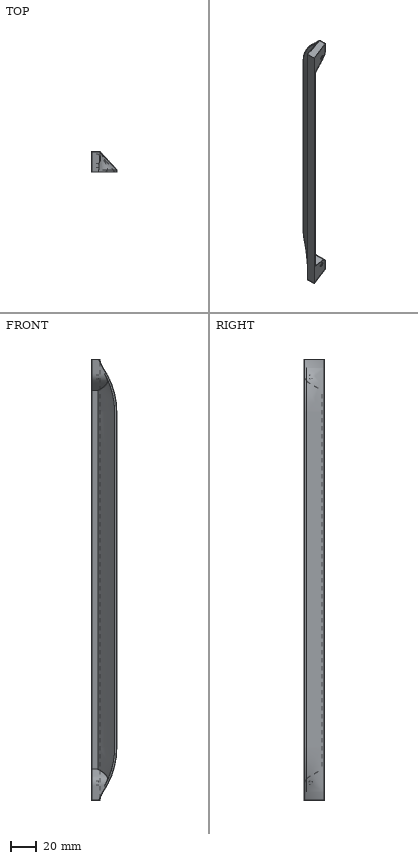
import cadquery as cq
import math

length = 350.0
depth = 20.0
width = 16.0
half_length = length / 2
front_y = -width / 2
back_y = width / 2

back_depth = 6.5
cap_depth = 5.5
lip_height = 1.8
wall = 1.8
grip_half_length = 133.5
end_line_z = 168.0
end_line_depth = 9.0

bend_rise = depth - end_line_depth
bend_run = end_line_z - grip_half_length
bend_radius = (bend_rise**2 + bend_run**2) / (2 * bend_rise)
bend_half_angle = math.asin(bend_run / bend_radius) / 2
bend_mid_z = grip_half_length + bend_radius * math.sin(bend_half_angle)
bend_mid_depth = depth - bend_radius * (1 - math.cos(bend_half_angle))
front_depths = [cap_depth, end_line_depth, bend_mid_depth, depth]

recess_back_depth = 5.0
inner_bulge = 1.22
ramp_base_z = 150.0
ramp_top_z = 158.5
ramp_round_radius = 8.5

hole_diameter = 3.0
hole_depth = 5.2
hole_y = -2.8
hole_z = 161.0


def bowed_outline(sketch, depths):
    """Closed XZ outline on the mounting plane, given its depth at the cap, line, bend and grip."""
    cap, line, bend, grip = depths
    return (
        sketch
        .moveTo(0, -half_length)
        .lineTo(cap, -half_length)
        .lineTo(line, -end_line_z)
        .threePointArc((bend, -bend_mid_z), (grip, -grip_half_length))
        .lineTo(grip, grip_half_length)
        .threePointArc((bend, bend_mid_z), (line, end_line_z))
        .lineTo(cap, half_length)
        .lineTo(0, half_length)
        .close()
    )


def straight_outline(sketch, edge_depth):
    """Straight outline with the same corners as the bowed one, so that the two can be lofted."""
    return (
        sketch
        .moveTo(0, -half_length)
        .lineTo(edge_depth, -half_length)
        .lineTo(edge_depth, -end_line_z)
        .lineTo(edge_depth, -grip_half_length)
        .lineTo(edge_depth, grip_half_length)
        .lineTo(edge_depth, end_line_z)
        .lineTo(edge_depth, half_length)
        .lineTo(0, half_length)
        .close()
    )


def outer_body():
    """Bowed front lip, with an outer face that slopes from it to the straight back edge."""
    lip_top_y = front_y + lip_height
    lip = bowed_outline(cq.Workplane("XZ", origin=(0, lip_top_y, 0)), front_depths).extrude(lip_height)
    slope_start = bowed_outline(cq.Workplane("XZ", origin=(0, lip_top_y, 0)), front_depths)
    slope_height = back_y - lip_top_y
    slope = straight_outline(slope_start.workplane(offset=-slope_height), back_depth).loft(ruled=True)
    return lip.union(slope)


def hand_recess():
    """Hollow behind the grip, open to the mounting side and the front, with ramped ends."""
    roof_y = back_y - wall
    slope_y = roof_y - front_y
    inner_front = [outer_depth - wall for outer_depth in front_depths]
    inner_middle = [(inner + recess_back_depth) / 2 + inner_bulge for inner in inner_front]
    front = bowed_outline(cq.Workplane("XZ", origin=(0, front_y, 0)), inner_front)
    middle = bowed_outline(front.workplane(offset=-slope_y / 2), inner_middle)
    hollow = straight_outline(middle.workplane(offset=-slope_y / 2), recess_back_depth).loft()

    ramp_rise = ramp_top_z - ramp_base_z
    ramp_length = math.hypot(slope_y, ramp_rise)
    turn = math.atan2(slope_y, ramp_rise)
    tangent = ramp_round_radius * math.tan(turn / 2)
    ramp_y = front_y + tangent * slope_y / ramp_length
    ramp_z = ramp_top_z - tangent * ramp_rise / ramp_length
    round_top_z = ramp_top_z + tangent
    round_mid_y = front_y + ramp_round_radius * (1 - math.cos(turn / 2))
    round_mid_z = round_top_z - ramp_round_radius * math.sin(turn / 2)
    ramped = (
        cq.Workplane("YZ")
        .moveTo(front_y, -round_top_z)
        .threePointArc((round_mid_y, -round_mid_z), (ramp_y, -ramp_z))
        .lineTo(roof_y, -ramp_base_z)
        .lineTo(roof_y, ramp_base_z)
        .lineTo(ramp_y, ramp_z)
        .threePointArc((round_mid_y, round_mid_z), (front_y, round_top_z))
        .close()
        .extrude(depth)
    )
    return ramped.intersect(hollow)


def mounting_holes():
    """Blind holes in the two mounting feet."""
    return (
        cq.Workplane("YZ")
        .pushPoints([(hole_y, -hole_z), (hole_y, hole_z)])
        .circle(hole_diameter / 2)
        .extrude(hole_depth)
    )


result = outer_body().cut(hand_recess()).cut(mounting_holes())